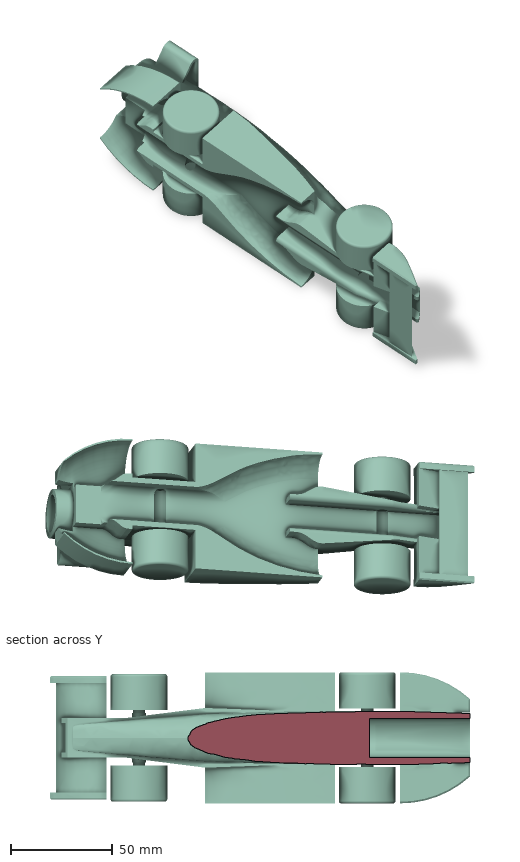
import cadquery as cq


WHEEL_DIA = 28.0
WHEEL_WIDTH = 17.9
WHEEL_FILLET = 1.2
STUB_DIA = 6.0
STUB_RECESS = 0.8
COLLAR_DIA = 7.0
COLLAR_REACH = 12.3
AXLE_Y = 9.88
REAR_AXLE_X = 51.0
FRONT_AXLE_X = 164.0
HALF_WIDTH = 32.5
REAR_WHEEL_OUTER = HALF_WIDTH
FRONT_WHEEL_OUTER = 31.6

CEILING_Y = 9.8
REAR_CHANNEL_HALF = 9.88
REAR_CHANNEL_FILLET = 3.43
FRONT_CHANNEL_HALF = 7.3
FRONT_WALL = 2.5
FRONT_OUTER = FRONT_CHANNEL_HALF + FRONT_WALL
FRONT_WALL_ROUND = 2.3
FRONT_WALL_START_X = 114.8
REAR_CHANNEL_END_X = 89.5

BOX_START_X = 8.3
WHEEL_BAY_START_X = 34.7
POD_START_X = 66.8
POD_END_X = 131.3
BAY_HALF = 12.5
BAY_WALL_START_X = 21.0
BAY_WALL_FOOT_X = 24.1
RAMP_START_X = 23.5
RAMP_MIDDLE = (28.0, 12.5)
RAMP_END_X = 32.0
RAMP_END_HALF = 14.4
NOSE_ROOT_HALF = 14.8
HULL_TOP = [(66.8, 24.1), (89.5, 23.0), (POD_END_X, 18.7), (154.0, 15.8), (174.7, 13.3), (199.3, 11.0)]
BOX_TOP_Y = 26.0
BOX_WIDE_Y = 18.7

NOSE_ROOT_Y = CEILING_Y + 2
NOSE_FLARE_START_X = 118.5
NOSE_FLARE_MIDDLE = (124.8, 12.5)
NOSE_TAPER_END_X = 170.5
NOSE_TIP_ARC = [(202.2, 6.9), (202.2, 5.8), (201.2, 5.5)]
NOSE_BELLY_END_X = 197.6
NOSE_BELLY_MIDDLE = (183.0, 3.1)

CHAMBER_Y = 28.7
CHAMBER_OUTER_DIA = 24.5
CHAMBER_DIA = 19.0
CHAMBER_DEPTH = 50.0
SPINE_SECTIONS = [
    (0.0, CHAMBER_Y, CHAMBER_OUTER_DIA / 2, CHAMBER_OUTER_DIA / 2),
    (25.0, 28.7, 13.1, 13.5),
    (56.2, 28.0, 13.3, 14.4),
    (95.0, 25.0, 13.0, 13.5),
    (131.0, 20.8, 11.6, 10.2),
    (159.0, 17.0, 9.5, 6.5),
    (177.7, 14.1, 8.0, 3.3),
    (196.5, 10.8, 6.2, 0.8),
]

POD_TOP = [(POD_START_X, 23.7), (79.0, 22.7), (93.6, 20.0), (110.3, 16.5), (POD_END_X, 10.2)]
TUNNEL_EDGE = [(68.0, REAR_CHANNEL_HALF), (80.5, 15.5), (93.5, 22.7), (109.0, 28.0), (POD_END_X, 31.5)]
TUNNEL_FILLET = 9.5

FAIRING_TOP_Y = 20.5
FAIRING_RADIUS = 53.0
FAIRING_TAIL_HALF = 19.1
FAIRING_TAIL_INNER = 12.5
FAIRING_CHAMFER = 0.8
FAIRING_SKIN = 0.8
FAIRING_LIP = 1.7
SCOOP_RADIUS = 15.5

REAR_WING_START_X = 7.0
REAR_WING_LENGTH = 17.7
REAR_WING_TOP_Y = 46.2
REAR_WING_CORNER_HALF = 28.5
REAR_WING_FOOT_Y = 31.2
REAR_WING_FOOT_HALF = 9.4
REAR_WING_ROUND = 3.5
REAR_WING_SKIN = 1.7

WING_START_X = 180.0
WING_STEP_X = 190.3
WING_END_X = 205.0
WING_INNER = 8.0
WING_BOTTOM_Y = -1.9
WING_PLATE = 1.7
WING_RISE = 2.7
ENDPLATE_INNER = 27.0
ENDPLATE_OUTER = 30.5
ENDPLATE_BOTTOM_Y = -2.5
ENDPLATE_FOOT = 1.2
ENDPLATE_CHAMFER = 0.6
CAR_LENGTH = 208.0
WING_TOP = [(WING_START_X, 9.2), (189.3, 8.0), (199.7, 2.7), (WING_END_X, WING_BOTTOM_Y)]
ENDPLATE_TOP = [
    (WING_START_X, 10.5),
    (187.2, 10.0),
    (198.0, 5.2),
    (CAR_LENGTH, ENDPLATE_BOTTOM_Y + ENDPLATE_FOOT),
]

FAR = 2 * HALF_WIDTH
SELECT_MARGIN = 0.2


def plan_prism(outline, bottom, height):
    """Raise a closed X-Z outline from the height `bottom`."""
    return outline.extrude(-height).translate((0, bottom, 0))


def both_sides(part):
    return part.union(part.mirror("XY"))


def z_cylinder(diameter, x, z_start, z_end):
    """Cylinder across the car on an axle line."""
    return (
        cq.Workplane("XY", origin=(x, AXLE_Y, z_start))
        .circle(diameter / 2)
        .extrude(z_end - z_start)
    )


def make_spine():
    """Rounded back of the car, from the chamber mouth to the nose."""
    wires = [
        cq.Wire.makeEllipse(
            half_height,
            half_width,
            center=cq.Vector(x, y, 0),
            normal=cq.Vector(1, 0, 0),
            xDir=cq.Vector(0, 1, 0),
        )
        for x, y, half_width, half_height in SPINE_SECTIONS
    ]
    return cq.Workplane(obj=cq.Solid.makeLoft(wires))


def make_rear_hull():
    """Box, wheel-bay walls and centre section under the spine, up to the nose root."""
    side = (
        cq.Workplane("XY")
        .moveTo(BOX_START_X, CEILING_Y)
        .lineTo(BOX_START_X, BOX_TOP_Y)
        .lineTo(*HULL_TOP[0])
        .spline(HULL_TOP[1:3], includeCurrent=True)
        .lineTo(POD_END_X, 0)
        .lineTo(BAY_WALL_FOOT_X, 0)
        .lineTo(BAY_WALL_START_X, CEILING_Y)
        .close()
        .extrude(FAR / 2, both=True)
    )
    half_plan = (
        cq.Workplane("XZ")
        .moveTo(BOX_START_X, 0)
        .lineTo(BOX_START_X, REAR_CHANNEL_HALF)
        .lineTo(RAMP_START_X, REAR_CHANNEL_HALF)
        .spline(
            [RAMP_MIDDLE, (RAMP_END_X, RAMP_END_HALF)],
            tangents=[(1, 0.2), (1, 0.1)],
            includeCurrent=True,
        )
        .lineTo(WHEEL_BAY_START_X, RAMP_END_HALF)
        .lineTo(WHEEL_BAY_START_X, BAY_HALF)
        .lineTo(POD_START_X, BAY_HALF)
        .lineTo(POD_END_X, NOSE_ROOT_HALF)
        .lineTo(POD_END_X, 0)
        .close()
    )
    half_upper_plan = cq.Workplane("XZ").polyline(
        [
            (BOX_START_X, 0),
            (BOX_START_X, BAY_HALF),
            (POD_START_X, BAY_HALF),
            (POD_END_X, NOSE_ROOT_HALF),
            (POD_END_X, 0),
        ]
    ).close()
    lower = plan_prism(half_plan, 0, BOX_WIDE_Y)
    upper = plan_prism(half_upper_plan, BOX_WIDE_Y, FAR)
    return side.intersect(both_sides(lower.union(upper)))


def make_pods():
    return (
        cq.Workplane("XY")
        .moveTo(POD_START_X, 0)
        .lineTo(*POD_TOP[0])
        .spline(POD_TOP[1:], includeCurrent=True)
        .lineTo(POD_END_X, 0)
        .close()
        .extrude(HALF_WIDTH, both=True)
    )


def make_rear_channel():
    """Tunnel between the rear wheel-bay walls, with rounded top corners."""
    return (
        cq.Workplane("XY")
        .box(REAR_CHANNEL_END_X, CEILING_Y, 2 * REAR_CHANNEL_HALF, centered=(False, False, True))
        .edges("|X and >Y")
        .fillet(REAR_CHANNEL_FILLET)
    )


def make_pod_tunnel():
    """Tunnel that widens from the rear channel to the front of the pods."""
    mirrored = [(x, -z) for x, z in reversed(TUNNEL_EDGE)]
    outline = (
        cq.Workplane("XZ")
        .moveTo(*TUNNEL_EDGE[0])
        .spline(TUNNEL_EDGE[1:], tangents=[(1, 0.2), (1, 0.05)], includeCurrent=True)
        .lineTo(*mirrored[0])
        .spline(mirrored[1:], tangents=[(-1, 0.05), (-1, 0.2)], includeCurrent=True)
        .close()
    )
    prism = plan_prism(outline, 0, CEILING_Y)
    return prism.faces(">Y").edges("not |Z").fillet(TUNNEL_FILLET)


def make_nose():
    """Tapered nose with a channel between its two side walls."""
    side = (
        cq.Workplane("XY")
        .moveTo(FRONT_WALL_START_X, 0)
        .lineTo(FRONT_WALL_START_X, NOSE_ROOT_Y)
        .lineTo(POD_END_X, NOSE_ROOT_Y)
        .lineTo(*HULL_TOP[2])
        .spline(HULL_TOP[3:], includeCurrent=True)
        .lineTo(*NOSE_TIP_ARC[0])
        .threePointArc(*NOSE_TIP_ARC[1:])
        .lineTo(NOSE_BELLY_END_X, NOSE_TIP_ARC[2][1])
        .threePointArc(NOSE_BELLY_MIDDLE, (FRONT_AXLE_X + COLLAR_DIA / 2, 0))
        .close()
        .extrude(FAR / 2, both=True)
    )
    half_plan = (
        cq.Workplane("XZ")
        .moveTo(FRONT_WALL_START_X, 0)
        .lineTo(FRONT_WALL_START_X, FRONT_OUTER)
        .lineTo(NOSE_FLARE_START_X, FRONT_OUTER)
        .spline(
            [NOSE_FLARE_MIDDLE, (POD_END_X, NOSE_ROOT_HALF)],
            tangents=[(1, 0.1), (1, 0)],
            includeCurrent=True,
        )
        .lineTo(NOSE_TAPER_END_X, FRONT_OUTER)
        .lineTo(CAR_LENGTH, FRONT_OUTER)
        .lineTo(CAR_LENGTH, 0)
        .close()
    )
    channel = cq.Workplane("XY").box(
        CAR_LENGTH, CEILING_Y, 2 * FRONT_CHANNEL_HALF, centered=(False, False, True)
    )
    nose = side.intersect(both_sides(plan_prism(half_plan, 0, FAR))).cut(channel)
    inner_edges = cq.selectors.BoxSelector(
        (FRONT_WALL_START_X, -SELECT_MARGIN, -FRONT_CHANNEL_HALF - SELECT_MARGIN),
        (NOSE_TIP_ARC[2][0], NOSE_TIP_ARC[2][1] - SELECT_MARGIN, FRONT_CHANNEL_HALF + SELECT_MARGIN),
    )
    return nose.edges(inner_edges).edges("not |Y").edges("not |Z").fillet(FRONT_WALL_ROUND)


def make_fairing():
    """Curved cover behind a rear wheel, hollowed from below by a swept scoop."""
    centre_z = HALF_WIDTH - FAIRING_RADIUS
    mid_x = WHEEL_BAY_START_X / 2
    mid_z = centre_z + (FAIRING_RADIUS**2 - mid_x**2) ** 0.5
    outline = (
        cq.Workplane("XZ")
        .moveTo(BOX_START_X, REAR_CHANNEL_HALF)
        .lineTo(BOX_START_X, FAIRING_TAIL_INNER)
        .lineTo(0, FAIRING_TAIL_INNER)
        .lineTo(0, FAIRING_TAIL_HALF)
        .threePointArc((mid_x, mid_z), (WHEEL_BAY_START_X, HALF_WIDTH))
        .lineTo(WHEEL_BAY_START_X, REAR_CHANNEL_HALF)
        .close()
    )
    wall = HALF_WIDTH - FAIRING_SKIN
    ceiling = FAIRING_LIP + SCOOP_RADIUS
    diagonal = SCOOP_RADIUS * 0.5**0.5
    scoop = (
        cq.Workplane("YZ", origin=(WHEEL_BAY_START_X, 0, centre_z))
        .moveTo(0, REAR_CHANNEL_HALF - centre_z)
        .lineTo(0, wall - centre_z)
        .lineTo(FAIRING_LIP, wall - centre_z)
        .threePointArc(
            (FAIRING_LIP + diagonal, wall - SCOOP_RADIUS + diagonal - centre_z),
            (ceiling, wall - SCOOP_RADIUS - centre_z),
        )
        .lineTo(ceiling, REAR_CHANNEL_HALF - centre_z)
        .close()
        .revolve(180, (0, 0), (-1, 0))
    )
    cover = plan_prism(outline, 0, FAIRING_TOP_Y)
    outer_edges = cq.selectors.BoxSelector(
        (-SELECT_MARGIN, FAIRING_TOP_Y - SELECT_MARGIN, FAIRING_TAIL_INNER + FAIRING_CHAMFER),
        (WHEEL_BAY_START_X - SELECT_MARGIN, FAIRING_TOP_Y + SELECT_MARGIN, HALF_WIDTH),
    )
    return cover.edges(outer_edges).chamfer(FAIRING_CHAMFER).cut(scoop)


def make_rear_wing():
    """Thin band that loops from the spine out to a flat top plane."""
    corners = [
        (REAR_WING_FOOT_Y, -REAR_WING_FOOT_HALF),
        (REAR_WING_TOP_Y, -REAR_WING_CORNER_HALF),
        (REAR_WING_TOP_Y, REAR_WING_CORNER_HALF),
        (REAR_WING_FOOT_Y, REAR_WING_FOOT_HALF),
    ]

    def rounded_block(inset):
        outline = cq.Workplane("YZ", origin=(REAR_WING_START_X, 0, 0)).polyline(corners).close()
        if inset:
            outline = outline.offset2D(-inset, "intersection")
        block = outline.extrude(REAR_WING_LENGTH)
        return block.edges("|X and >Y").fillet(REAR_WING_ROUND - inset)

    return rounded_block(0).cut(rounded_block(REAR_WING_SKIN))


def make_front_wing():
    """Low wing with a curved top, a plate across its front and two endplates."""
    blade = (
        cq.Workplane("XY")
        .moveTo(WING_START_X, WING_BOTTOM_Y)
        .lineTo(*WING_TOP[0])
        .spline(WING_TOP[1:], includeCurrent=True)
        .lineTo(WING_STEP_X, WING_BOTTOM_Y)
        .lineTo(WING_STEP_X, WING_BOTTOM_Y + WING_RISE)
        .close()
        .extrude(ENDPLATE_INNER, both=True)
    )
    nose_gap = cq.Workplane("XY", origin=(WING_START_X, WING_BOTTOM_Y + WING_PLATE, 0)).box(
        CAR_LENGTH, FAR, 2 * WING_INNER, centered=(False, False, True)
    )
    tail_gap = cq.Workplane("XY", origin=(WING_START_X, WING_BOTTOM_Y, 0)).box(
        WING_STEP_X - WING_START_X, FAR, 2 * WING_INNER, centered=(False, False, True)
    )
    endplate = (
        cq.Workplane("XY", origin=(0, 0, ENDPLATE_INNER))
        .moveTo(WING_START_X, ENDPLATE_BOTTOM_Y)
        .lineTo(*ENDPLATE_TOP[0])
        .spline(ENDPLATE_TOP[1:], includeCurrent=True)
        .lineTo(CAR_LENGTH, ENDPLATE_BOTTOM_Y)
        .close()
        .extrude(ENDPLATE_OUTER - ENDPLATE_INNER)
        .faces(">Z")
        .edges("not <X")
        .chamfer(ENDPLATE_CHAMFER)
    )
    return blade.cut(nose_gap).cut(tail_gap).union(both_sides(endplate))


def make_car():
    car = make_rear_hull().union(make_pods())
    car = car.cut(make_rear_channel()).cut(make_pod_tunnel())
    car = car.union(both_sides(make_fairing()))
    car = car.union(make_nose()).union(make_spine())
    car = car.union(make_rear_wing()).union(make_front_wing())
    collar = z_cylinder(COLLAR_DIA, FRONT_AXLE_X, FRONT_CHANNEL_HALF, COLLAR_REACH)
    car = car.union(both_sides(collar))
    for axle_x in (REAR_AXLE_X, FRONT_AXLE_X):
        car = car.cut(z_cylinder(STUB_DIA, axle_x, -HALF_WIDTH, HALF_WIDTH))
    chamber = cq.Workplane("YZ", origin=(0, CHAMBER_Y, 0)).circle(CHAMBER_DIA / 2).extrude(CHAMBER_DEPTH)
    return car.cut(chamber)


def make_wheel(axle_x, outer_z, stub_end_z):
    """Solid wheel with a stub that reaches through the wall to the channel."""
    inner_z = outer_z - WHEEL_WIDTH
    wheel = z_cylinder(WHEEL_DIA, axle_x, inner_z, outer_z).faces(">Z").edges().fillet(WHEEL_FILLET)
    return wheel.union(z_cylinder(STUB_DIA, axle_x, stub_end_z, inner_z))


car = make_car()
wheels = []
for axle_x, outer_z, stub_end_z in (
    (REAR_AXLE_X, REAR_WHEEL_OUTER, REAR_CHANNEL_HALF + STUB_RECESS),
    (FRONT_AXLE_X, FRONT_WHEEL_OUTER, FRONT_CHANNEL_HALF + STUB_RECESS),
):
    wheel = make_wheel(axle_x, outer_z, stub_end_z)
    wheels += [*wheel.solids().vals(), *wheel.mirror("XY").solids().vals()]

result = cq.Compound.makeCompound([car.solids().val(), *wheels])